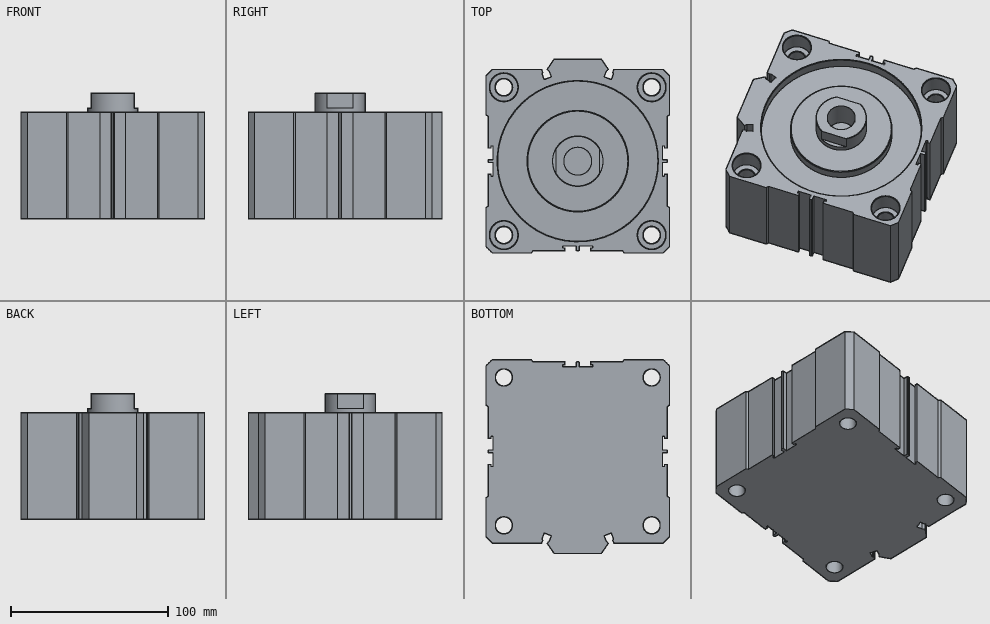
import cadquery as cq


side = 117.0
overall_depth = 123.5
overall_height = 80.0
housing_height = 68.0
corner_chamfer = 4.1
half_side = side / 2

recess_depth = 1.4
recess_half_width = 29.5
recess_edge_run = 1.0
slot_half_mouth = 8.3
slot_half_width = 9.5
slot_lip = 2.0
slot_depth = 3.1
rib_half_width = 1.0
rib_chamfer = 0.4

rail_half_crest = 15.1
rail_half_width = 19.5
rail_crest = overall_depth - half_side

groove_inner_top = (18.2, 57.2)
groove_inner_bottom = (16.9, 53.7)
groove_outer_bottom = (21.4, 52.0)
groove_outer_top = (22.7, 56.0)
groove_ledge = (22.2, 56.6)
groove_mouth = 23.0

bore_radius = 51.0
bore_depth = 7.9
bore_chamfer = 0.4
boss_radius = 32.4
boss_height = 6.7
boss_chamfer = 0.5
recess_floor = housing_height - bore_depth
boss_top = recess_floor + boss_height

hole_offset = 47.0
hole_radius = 5.3
counterbore_radius = 8.9
counterbore_depth = 13.6
hole_chamfer = 0.4

rod_radius = 16.0
rod_bottom = housing_height / 2
rod_chamfer = 0.2
flat_half_width = 13.7
flat_height = 9.5
rod_hole_radius = 8.9
rod_hole_depth = 20.0


def mirrored_outline(half):
    """Closed sketch from the points of one half, mirrored about the Y axis."""
    other_half = [(-x, y) for x, y in reversed(half)]
    return cq.Workplane("XY").polyline(half + other_half).close()


def side_cutter():
    """Recess and T-slot with its central rib, for the -Y side."""
    face = -half_side + recess_depth
    lip_back = face + slot_lip
    floor = face + slot_depth
    half = [
        (rib_half_width - rib_chamfer, face),
        (rib_half_width, face + rib_chamfer),
        (rib_half_width, floor),
        (slot_half_width, floor),
        (slot_half_width, lip_back),
        (slot_half_mouth, lip_back),
        (slot_half_mouth, face),
        (recess_half_width - recess_edge_run, face),
        (recess_half_width, -half_side),
    ]
    return mirrored_outline(half).extrude(housing_height)


def rail():
    """Wedge-sided rail standing on the +Y side."""
    half = [
        (rail_half_width, half_side),
        (rail_half_crest, rail_crest),
    ]
    return mirrored_outline(half).extrude(housing_height)


def rail_groove():
    """Tilted groove under the +X edge of the rail."""
    outline = [
        (rail_half_width, half_side),
        groove_inner_top,
        groove_inner_bottom,
        groove_outer_bottom,
        groove_outer_top,
        groove_ledge,
        (groove_mouth, half_side),
    ]
    return cq.Workplane("XY").polyline(outline).close().extrude(housing_height)


def profile_block():
    """Extruded square body with its rail and side slots."""
    block = (
        cq.Workplane("XY")
        .rect(side, side)
        .extrude(housing_height)
        .edges("|Z")
        .chamfer(corner_chamfer)
        .union(rail())
    )
    groove = rail_groove()
    block = block.cut(groove).cut(groove.mirror("YZ"))
    for angle in (-90, 0, 90):
        block = block.cut(side_cutter().rotate((0, 0, 0), (0, 0, 1), angle))
    return block


def bore_cutter():
    """Round recess that leaves the boss standing; both rims are chamfered."""
    profile = [
        (0, boss_top),
        (boss_radius - boss_chamfer, boss_top),
        (boss_radius, boss_top - boss_chamfer),
        (boss_radius, recess_floor),
        (bore_radius, recess_floor),
        (bore_radius, housing_height - bore_chamfer),
        (bore_radius + bore_chamfer, housing_height),
        (0, housing_height),
    ]
    return cq.Workplane("XZ").polyline(profile).close().revolve(360, (0, 0), (0, 1))


def mounting_hole_cutter():
    """Counterbored through hole with chamfered edges, on the Z axis."""
    shoulder = housing_height - counterbore_depth
    profile = [
        (0, 0),
        (hole_radius, 0),
        (hole_radius, shoulder - hole_chamfer),
        (hole_radius + hole_chamfer, shoulder),
        (counterbore_radius, shoulder),
        (counterbore_radius, housing_height - hole_chamfer),
        (counterbore_radius + hole_chamfer, housing_height),
        (0, housing_height),
    ]
    return cq.Workplane("XZ").polyline(profile).close().revolve(360, (0, 0), (0, 1))


def rod_socket():
    """Round blind hole in the housing that the rod fills."""
    return (
        cq.Workplane("XY")
        .workplane(offset=rod_bottom)
        .circle(rod_radius)
        .extrude(housing_height - rod_bottom)
    )


def make_housing():
    housing = profile_block().cut(bore_cutter()).cut(rod_socket())
    for x in (-hole_offset, hole_offset):
        for y in (-hole_offset, hole_offset):
            housing = housing.cut(mounting_hole_cutter().translate((x, y, 0)))
    return housing


def make_rod():
    """Piston rod with two wrench flats and a blind hole in its end."""
    rod = (
        cq.Workplane("XY")
        .workplane(offset=rod_bottom)
        .circle(rod_radius)
        .extrude(overall_height - rod_bottom)
        .faces(">Z")
        .chamfer(rod_chamfer)
        .faces(">Z")
        .workplane()
        .hole(2 * rod_hole_radius, rod_hole_depth)
    )
    flat_depth = rod_radius - flat_half_width
    for x_direction in (-1, 1):
        flat = (
            cq.Workplane("XY")
            .workplane(offset=overall_height - flat_height)
            .center(x_direction * (flat_half_width + flat_depth / 2), 0)
            .rect(flat_depth, 2 * rod_radius)
            .extrude(flat_height)
        )
        rod = rod.cut(flat)
    return rod


housing = make_housing()
rod = make_rod()

result = cq.Compound.makeCompound([housing.val(), rod.val()])